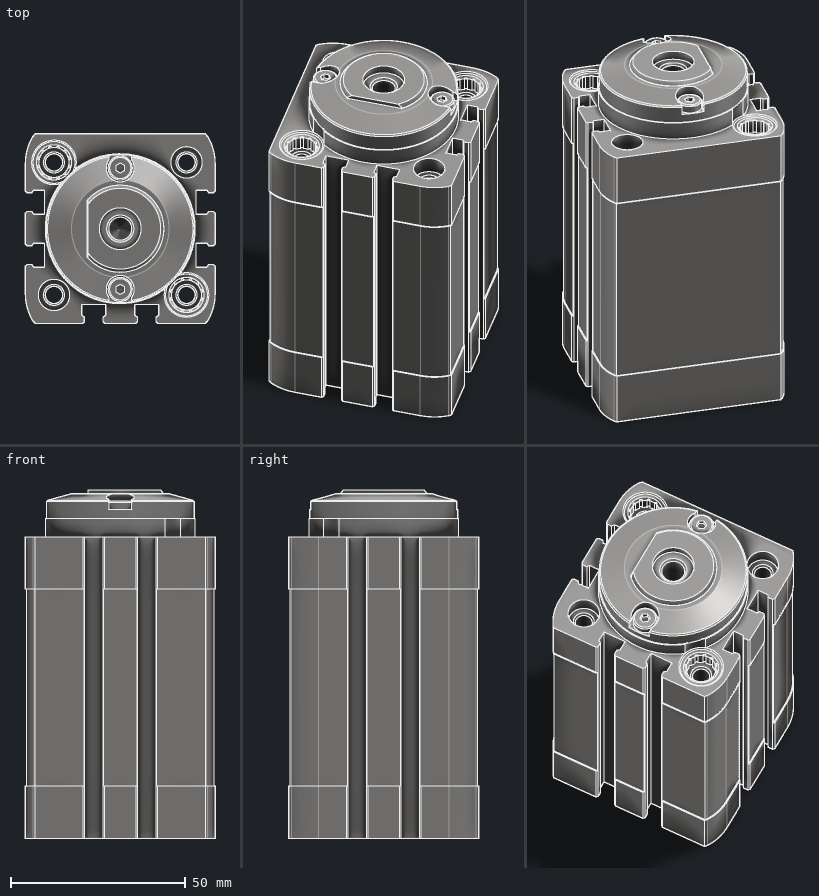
import cadquery as cq
import math


WIDTH = 54.5
HOUSING_HEIGHT = 86.5
END_HEIGHT = 15.0
BARREL_INSET = 0.3
SIDE_FLAT_HALF = 18.7
FACE_FLAT_HALF = 24.4
CORNER_RADIUS = 15.0
CORNER_ARC_END = 26.5

SLOT_OFFSET = 7.6
SLOT_MOUTH = 5.3
SLOT_WIDTH = 6.8
SLOT_DEPTH = 5.5
SLOT_LIP = 1.9
SLOT_UNDERCUT = 0.5
MOUTH_BREAK = 0.5

CORNER_PITCH = 38.0
CORNER_BORE = 4.9
CORNER_BORE_MOUTH = 6.0
PILOT_DIAMETER = 9.0
PILOT_DEPTH = 5.0
COLLAR_SEAT_DIAMETER = 12.8
COLLAR_DIAMETER = 12.0
COLLAR_DROP = 0.4
SOCKET_DIAMETER = 8.6
SOCKET_MOUTH = 10.1
SOCKET_CHAMFER = 0.6
SOCKET_NOTCHES = 12
SOCKET_TURN = 15.0
SOCKET_NOTCH_DIAMETER = 0.9

NECK_DIAMETER = 43.0
NECK_HEIGHT = 5.2
CAP_DIAMETER = 42.5
CAP_BREAK = 0.4
CAP_RIM_TOP = 97.0
CAP_CROWN_DIAMETER = 28.0
CAP_TOP = 98.9

ROD_DIAMETER = 25.0
ROD_TOP = 100.0
ROD_LENGTH = 28.2
ROD_FLAT = 9.3
ROD_FLAT_GAP = 0.3
ROD_CHAMFER_WIDTH = 0.9
ROD_CHAMFER_HEIGHT = 1.2
ROD_PILOT_DIAMETER = 12.0
ROD_PILOT_DEPTH = 2.6
ROD_BORE = 6.6
ROD_BORE_MOUTH = 7.8
ROD_BORE_DEPTH = 16.0
DRILL_POINT_ANGLE = 118.0

SCREW_OFFSET = 17.4
SCREW_SEAT = 94.3
SCREW_HEAD_DIAMETER = 6.9
SCREW_HEAD_HEIGHT = 2.5
SCREW_HEAD_CHAMFER = 0.4
SCREW_SHANK = 4.0
SCREW_SHANK_LENGTH = 6.0
SCREW_HEX = 2.5
SCREW_HEX_CORNERS = SCREW_HEX / math.cos(math.radians(30))
SCREW_HEX_DEPTH = 1.5
SCREW_POCKET = 8.0
SCREW_SLOT = 6.5

NECK_TOP = HOUSING_HEIGHT + NECK_HEIGHT
SCREW_POINTS = [(0, SCREW_OFFSET), (0, -SCREW_OFFSET)]


def cylinder(diameter, bottom, top, x=0.0, y=0.0):
    plane = cq.Workplane("XY").workplane(offset=bottom).center(x, y)
    return plane.circle(diameter / 2).extrude(top - bottom)


def cone(bottom_diameter, top_diameter, bottom, top, x=0.0, y=0.0):
    solid = cq.Solid.makeCone(
        bottom_diameter / 2, top_diameter / 2, top - bottom, cq.Vector(x, y, bottom), cq.Vector(0, 0, 1)
    )
    return cq.Workplane(obj=solid)


def outline(inset=0.0):
    """Square with rounded corners: each X side curves in to a small bevel on the Y side."""
    half = WIDTH / 2 - inset
    centre_x = half - CORNER_RADIUS
    end_angle = math.asin((CORNER_ARC_END - SIDE_FLAT_HALF) / CORNER_RADIUS)
    arc_end_x = centre_x + CORNER_RADIUS * math.cos(end_angle)
    arc_mid_x = centre_x + CORNER_RADIUS * math.cos(end_angle / 2)
    arc_mid_y = SIDE_FLAT_HALF + CORNER_RADIUS * math.sin(end_angle / 2)
    return (
        cq.Workplane("XY")
        .moveTo(half, -SIDE_FLAT_HALF)
        .lineTo(half, SIDE_FLAT_HALF)
        .threePointArc((arc_mid_x, arc_mid_y), (arc_end_x, CORNER_ARC_END))
        .lineTo(FACE_FLAT_HALF, half)
        .lineTo(-FACE_FLAT_HALF, half)
        .lineTo(-arc_end_x, CORNER_ARC_END)
        .threePointArc((-arc_mid_x, arc_mid_y), (-half, SIDE_FLAT_HALF))
        .lineTo(-half, -SIDE_FLAT_HALF)
        .threePointArc((-arc_mid_x, -arc_mid_y), (-arc_end_x, -CORNER_ARC_END))
        .lineTo(-FACE_FLAT_HALF, -half)
        .lineTo(FACE_FLAT_HALF, -half)
        .lineTo(arc_end_x, -CORNER_ARC_END)
        .threePointArc((arc_mid_x, -arc_mid_y), (half, -SIDE_FLAT_HALF))
        .close()
    )


def sensor_slot():
    """Full-height slot with a narrow mouth, cut into the -Y side at X = 0."""
    face = -WIDTH / 2
    mouth = SLOT_MOUTH / 2
    inner = SLOT_WIDTH / 2
    lip_end = face + SLOT_LIP
    half_profile = [
        (mouth + MOUTH_BREAK, face),
        (mouth, face + MOUTH_BREAK),
        (mouth, lip_end),
        (inner, lip_end + SLOT_UNDERCUT),
        (inner, face + SLOT_DEPTH),
    ]
    mirrored = [(-x, y) for x, y in reversed(half_profile)]
    return cq.Workplane("XY").polyline(half_profile + mirrored).close().extrude(HOUSING_HEIGHT)


def corner_bore(x, y):
    """Through bore with a chamfered mouth at the floor of the corner recess."""
    floor = HOUSING_HEIGHT - PILOT_DEPTH
    chamfer = (CORNER_BORE_MOUTH - CORNER_BORE) / 2
    mouth = cone(CORNER_BORE, CORNER_BORE_MOUTH, floor - chamfer, floor, x, y)
    return cylinder(CORNER_BORE, 0, floor, x, y).union(mouth)


def pilot_recess(x, y):
    return cylinder(PILOT_DIAMETER, HOUSING_HEIGHT - PILOT_DEPTH, HOUSING_HEIGHT, x, y)


def splined_recess(x, y):
    """Collar seat that also clears the neck, over a splined socket with a chamfered mouth."""
    floor = HOUSING_HEIGHT - PILOT_DEPTH
    collar = HOUSING_HEIGHT - COLLAR_DROP
    recess = cylinder(COLLAR_SEAT_DIAMETER, HOUSING_HEIGHT, NECK_TOP, x, y)
    recess = recess.union(cone(COLLAR_DIAMETER, COLLAR_SEAT_DIAMETER, collar, HOUSING_HEIGHT, x, y))
    recess = recess.union(cone(SOCKET_DIAMETER, SOCKET_MOUTH, collar - SOCKET_CHAMFER, collar, x, y))
    recess = recess.union(cylinder(SOCKET_DIAMETER, floor, collar, x, y))
    notches = (
        cq.Workplane("XY")
        .workplane(offset=floor)
        .center(x, y)
        .polarArray(SOCKET_DIAMETER / 2, SOCKET_TURN, 360, SOCKET_NOTCHES)
        .circle(SOCKET_NOTCH_DIAMETER / 2)
        .extrude(collar - SOCKET_CHAMFER - floor)
    )
    return recess.union(notches)


def flatted_bar(flat):
    """Full-length bar of the rod diameter with one flat on its -X side."""
    bar = cylinder(ROD_DIAMETER, ROD_TOP - ROD_LENGTH, ROD_TOP)
    keep = cq.Workplane("XY").box(ROD_DIAMETER, ROD_DIAMETER, ROD_TOP, centered=(False, True, False))
    return bar.intersect(keep.translate((-flat, 0, 0)))


def make_housing():
    body = outline().extrude(HOUSING_HEIGHT)
    barrel_height = HOUSING_HEIGHT - 2 * END_HEIGHT
    barrel_zone = outline().extrude(barrel_height)
    barrel = outline(BARREL_INSET).extrude(barrel_height)
    body = body.cut(barrel_zone.cut(barrel).translate((0, 0, END_HEIGHT)))
    body = body.union(cylinder(NECK_DIAMETER, HOUSING_HEIGHT, NECK_TOP))

    slot = sensor_slot()
    for offset in (-SLOT_OFFSET, SLOT_OFFSET):
        for angle in (-90, 0, 90):
            body = body.cut(slot.translate((offset, 0, 0)).rotate((0, 0, 0), (0, 0, 1), angle))

    reach = CORNER_PITCH / 2
    for x in (-reach, reach):
        for y in (-reach, reach):
            recess = splined_recess(x, y) if x * y < 0 else pilot_recess(x, y)
            body = body.cut(recess).cut(corner_bore(x, y))

    body = body.cut(flatted_bar(ROD_FLAT))
    for x, y in SCREW_POINTS:
        body = body.cut(cylinder(SCREW_SHANK, SCREW_SEAT - SCREW_SHANK_LENGTH, NECK_TOP, x, y))
    return body


def make_cap():
    rim = CAP_DIAMETER / 2
    profile = [
        (0, NECK_TOP),
        (rim, NECK_TOP),
        (rim, CAP_RIM_TOP - CAP_BREAK),
        (rim - CAP_BREAK, CAP_RIM_TOP),
        (CAP_CROWN_DIAMETER / 2, CAP_TOP),
        (0, CAP_TOP),
    ]
    cap = cq.Workplane("XZ").polyline(profile).close().revolve(360, (0, 0), (0, 1))
    cap = cap.cut(flatted_bar(ROD_FLAT + ROD_FLAT_GAP))
    for x, y in SCREW_POINTS:
        opening = (
            cq.Workplane("XY")
            .box(SCREW_SLOT, rim, CAP_TOP - SCREW_SEAT, centered=(True, False, False))
            .translate((x, y if y > 0 else y - rim, SCREW_SEAT))
        )
        cap = cap.cut(cylinder(SCREW_POCKET, SCREW_SEAT, CAP_TOP, x, y)).cut(opening)
        cap = cap.cut(cylinder(SCREW_SHANK, NECK_TOP, SCREW_SEAT, x, y))
    return cap


def make_rod():
    rod = flatted_bar(ROD_FLAT)
    chamfer_base = ROD_TOP - ROD_CHAMFER_HEIGHT
    tip = cone(ROD_DIAMETER, ROD_DIAMETER - 2 * ROD_CHAMFER_WIDTH, chamfer_base, ROD_TOP)
    rod = rod.cut(cylinder(ROD_DIAMETER, chamfer_base, ROD_TOP).cut(tip))
    pilot_floor = ROD_TOP - ROD_PILOT_DEPTH
    bore_end = pilot_floor - ROD_BORE_DEPTH
    mouth_depth = (ROD_BORE_MOUTH - ROD_BORE) / 2
    point_depth = ROD_BORE / 2 / math.tan(math.radians(DRILL_POINT_ANGLE / 2))
    rod = rod.cut(cylinder(ROD_PILOT_DIAMETER, pilot_floor, ROD_TOP))
    rod = rod.cut(cone(ROD_BORE, ROD_BORE_MOUTH, pilot_floor - mouth_depth, pilot_floor))
    rod = rod.cut(cylinder(ROD_BORE, bore_end, pilot_floor))
    return rod.cut(cone(0, ROD_BORE, bore_end - point_depth, bore_end))


def make_screw(x, y):
    """Low-head hexagon socket screw, seated in a pocket of the cap."""
    head_top = SCREW_SEAT + SCREW_HEAD_HEIGHT
    head = cylinder(SCREW_HEAD_DIAMETER, SCREW_SEAT, head_top).faces(">Z").chamfer(SCREW_HEAD_CHAMFER)
    socket = (
        cq.Workplane("XY")
        .workplane(offset=head_top - SCREW_HEX_DEPTH)
        .polygon(6, SCREW_HEX_CORNERS)
        .extrude(SCREW_HEX_DEPTH)
        .rotate((0, 0, 0), (0, 0, 1), 30)
    )
    shank = cylinder(SCREW_SHANK, SCREW_SEAT - SCREW_SHANK_LENGTH, SCREW_SEAT)
    return head.union(shank).cut(socket).translate((x, y, 0))


housing = make_housing()
cap = make_cap()
rod = make_rod()
screws = [make_screw(x, y) for x, y in SCREW_POINTS]

result = cq.Compound.makeCompound(
    [housing.val(), cap.val(), rod.val(), *[screw.val() for screw in screws]]
)